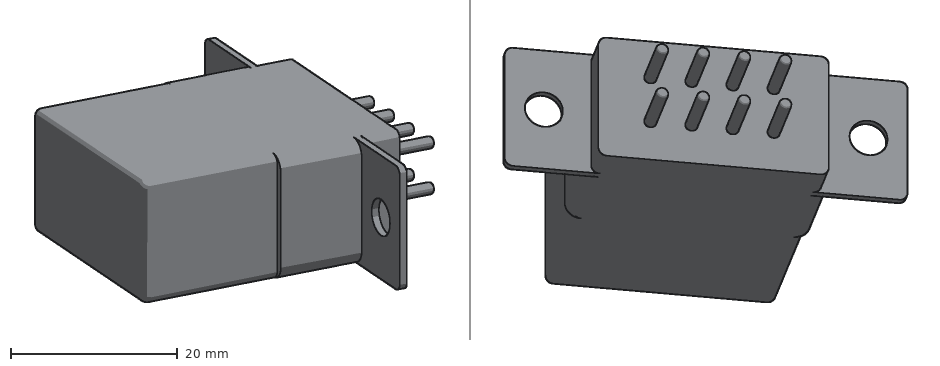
import cadquery as cq

height = 15.9
total_depth = 42.8

case_width = 28.1
case_depth = 34.95
case_round = 1.05

flange_width = 49.15
flange_thickness = 1.0
flange_back = 30.2
flange_front = flange_back - flange_thickness
flange_corner = 1.0
hole_diameter = 4.6
hole_spacing = 39.6

sleeve_width = 29.98
sleeve_front = 18.25
sleeve_corner = 1.95

pin_diameter = 1.5
pin_length = total_depth - case_depth
pin_tip_round = 0.5
pin_columns = 4
pin_rows = 2
pin_pitch = 5.0
pin_shift_x = 0.2
pin_shift_z = 0.1
pin_row_spacing = 5.9


def block(width, front, back):
    """Full-height block centred on X and Z, running from front to back in Y."""
    depth = back - front
    return cq.Workplane("XY").box(width, depth, height).translate((0, front + depth / 2, 0))


def make_case():
    case = block(case_width, 0, case_depth)
    return case.edges("|Y or <Y").fillet(case_round)


def make_sleeve():
    sleeve = block(sleeve_width, sleeve_front, flange_front)
    return sleeve.edges("|Y").fillet(sleeve_corner)


def make_flange():
    flange = block(flange_width, flange_front, flange_back).edges("|Y").fillet(flange_corner)
    holes = (
        cq.Workplane("XZ", origin=(0, flange_back, 0))
        .rarray(hole_spacing, 0.5, 2, 1)
        .circle(hole_diameter / 2)
        .extrude(flange_thickness)
    )
    return flange.cut(holes)


def make_pins():
    return (
        cq.Workplane("XZ", origin=(pin_shift_x, case_depth, pin_shift_z))
        .rarray(pin_pitch, pin_row_spacing, pin_columns, pin_rows)
        .circle(pin_diameter / 2)
        .extrude(-pin_length)
        .faces(">Y")
        .edges()
        .fillet(pin_tip_round)
    )


result = make_case().union(make_sleeve()).union(make_flange()).union(make_pins())